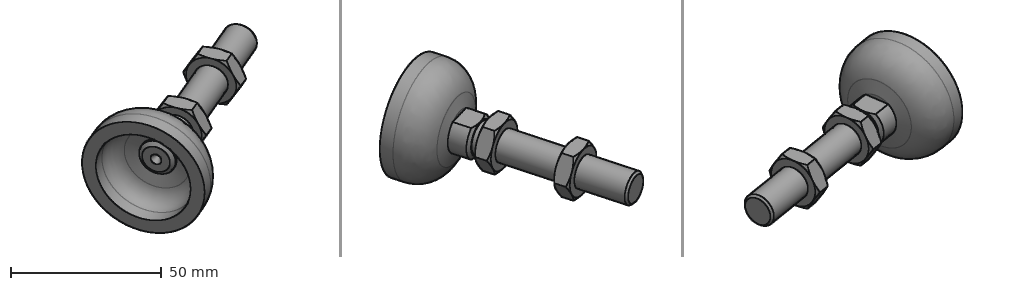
import cadquery as cq
import math

total_length = 85.0

foot_radius = 22.0
wall = 5.0
rim_height = 5.0
shoulder_height = 18.0
crown_radius = 12.1
shoulder_slope = math.radians(15)

boss_root_radius = 6.55
boss_tip_radius = 5.0
boss_tip_height = 11.05
boss_chamfer_height = 1.1
center_hole_radius = 1.95
center_hole_depth = 3.4

neck_radius = 8.0
neck_flats = 13.0
neck_end = 26.0
neck_chamfer_height = 0.9

stem_radius = 6.0
stem_chamfer = 0.85
nut_flats = 18.0
nut_height = 6.0
nut_starts = (29.0, 59.0)
nut_chamfer_angle = math.radians(30)


def revolve_about_y(profile):
    return profile.close().revolve(360, (0, 0, 0), (0, 1, 0))


def dome(radius, crown):
    """Solid of revolution with a straight rim, a round crown and a conical top."""
    center_x = radius - crown

    def crown_point(angle):
        return (center_x + crown * math.cos(angle), rim_height + crown * math.sin(angle))

    slope_angle = math.pi / 2 - shoulder_slope
    slope_start = crown_point(slope_angle)
    apex_height = slope_start[1] + slope_start[0] * math.tan(shoulder_slope)
    return revolve_about_y(
        cq.Workplane("XY")
        .lineTo(radius, 0)
        .lineTo(radius, rim_height)
        .threePointArc(crown_point(slope_angle / 2), slope_start)
        .lineTo(0, apex_height)
    )


def cylinder(radius, start, end):
    return cq.Workplane("XZ", origin=(0, start, 0)).circle(radius).extrude(start - end)


def make_foot():
    outside = dome(foot_radius, crown_radius)
    outside = outside.intersect(cylinder(foot_radius, 0, shoulder_height))
    return outside.cut(dome(foot_radius - wall, crown_radius - wall))


def make_boss():
    chamfer_end = boss_tip_height + boss_chamfer_height
    return revolve_about_y(
        cq.Workplane("XY")
        .moveTo(0, boss_tip_height + center_hole_depth)
        .lineTo(center_hole_radius, boss_tip_height)
        .lineTo(boss_tip_radius, boss_tip_height)
        .lineTo(boss_root_radius, chamfer_end)
        .lineTo(boss_root_radius, shoulder_height)
        .lineTo(0, shoulder_height)
    )


def make_neck():
    neck = revolve_about_y(
        cq.Workplane("XY")
        .moveTo(0, shoulder_height)
        .lineTo(neck_radius, shoulder_height)
        .lineTo(neck_radius, neck_end - neck_chamfer_height)
        .lineTo(neck_flats / 2, neck_end)
        .lineTo(0, neck_end)
    )
    flats = cq.Workplane("XY").box(2 * neck_radius, 2 * total_length, neck_flats)
    return neck.intersect(flats)


def make_stem():
    return cylinder(stem_radius, neck_end, total_length).faces(">Y").chamfer(stem_chamfer)


def make_nut(start):
    corner_radius = nut_flats / math.sqrt(3)
    hexagon = (
        cq.Workplane("XZ", origin=(0, start, 0))
        .polygon(6, 2 * corner_radius)
        .extrude(-nut_height)
    )
    face_radius = nut_flats / 2
    chamfer_height = (corner_radius - face_radius) * math.tan(nut_chamfer_angle)
    envelope = revolve_about_y(
        cq.Workplane("XY")
        .moveTo(0, start)
        .lineTo(face_radius, start)
        .lineTo(corner_radius, start + chamfer_height)
        .lineTo(corner_radius, start + nut_height - chamfer_height)
        .lineTo(face_radius, start + nut_height)
        .lineTo(0, start + nut_height)
    )
    return hexagon.intersect(envelope)


result = make_foot().union(make_boss()).union(make_neck()).union(make_stem())
for nut_start in nut_starts:
    result = result.union(make_nut(nut_start))